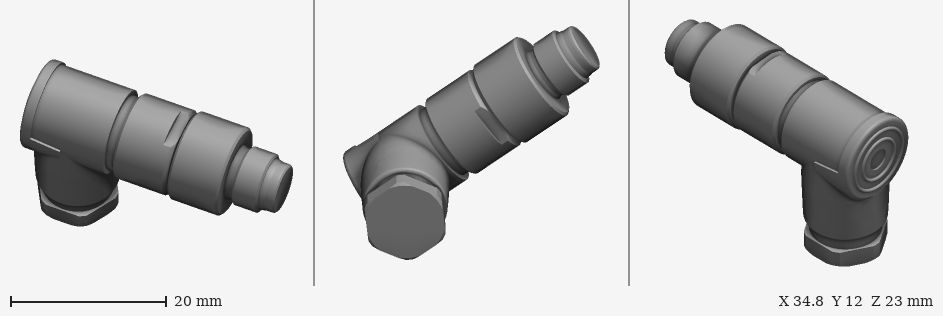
import cadquery as cq
import math


CAP_RADIUS = 12.0 / 2
CAP_ROUND = 0.5
CAP_RIM_END = 1.85
CAP_SKIRT_TOP = 0.52
CAP_WEDGE_DEPTH = 1.05
RIDGE_RADIUS = 0.28
RIDGE_RING_RADII = (3.0, 4.5)
CAP_FACE = RIDGE_RADIUS
CAP_RECESS_DIAMETER = 3.0
CAP_RECESS_DEPTH = 0.28

HOUSING_RADIUS = 11.4 / 2
HOUSING_END = 11.97
NECK_RADIUS = 10.0 / 2
COLLAR_RADIUS = 11.6 / 2
COLLAR_START = 13.22
COLLAR_END = 20.67
COLLAR_FLAT_START = 19.2
COLLAR_END_CHAMFER = 0.45
COLLAR_FLAT_DISTANCE = NECK_RADIUS
GAP_RADIUS = 3.25
RING_RADIUS = 12.0 / 2
RING_START = 21.0
RING_END = 28.0
EDGE_CHAMFER = 0.3
PLUG_NECK_RADIUS = 3.48
PLUG_NECK_FLARE = 0.2
PLUG_NECK_FLARE_END = 28.55
PLUG_RADIUS = 8 / 2
PLUG_START = 29.02
PLUG_END = 32.45
PLUG_CHAMFER = 0.35
TIP_CONE_START = 32.68
TIP_STEP_RADIUS = 6.85 / 2
TIP_STEP_START = 33.0
TIP_LAND_RADIUS = 6.8 / 2
TIP_LAND_START = 33.25
TIP_RADIUS = 6.6 / 2
TIP_START = 33.55
TIP_TAPER_START = 34.3
TIP_TAPER_RADIUS = 3.27
TIP_CHAMFER = 0.2
TOTAL_LENGTH = 34.8

TUBE_X = CAP_FACE + HOUSING_RADIUS
TUBE_END = -5.95
SLEEVE_BOTTOM = -12.5
SLEEVE_END_RADIUS = 5.45
SLEEVE_BULGE = 0.017
SLEEVE_ROUND = 0.45
STEM_RADIUS = 9.5 / 2
HEX_TOP = -14.4
HEX_BOTTOM = CAP_RADIUS - 23.0
HEX_ACROSS_FLATS = 10.0
HEX_CORNER_RADIUS = 5.5
HEX_CHAMFER_HEIGHT = 0.3
HEX_CHAMFER_WIDTH = 0.4


def cylinder_x(radius, start, end):
    return cq.Workplane("YZ", origin=(start, 0, 0)).circle(radius).extrude(end - start)


def cylinder_z(radius, bottom, top):
    return cq.Workplane("XY", origin=(TUBE_X, 0, bottom)).circle(radius).extrude(top - bottom)


def make_cap():
    """Round cap whose lower half reaches back as a skirt to the cable axis."""
    cap = cylinder_x(CAP_RADIUS, CAP_FACE, TUBE_X).faces("<X").edges().fillet(CAP_ROUND)
    keep = (
        cq.Workplane("XZ")
        .moveTo(0, CAP_RADIUS)
        .lineTo(CAP_RIM_END, CAP_RADIUS)
        .lineTo(CAP_RIM_END, CAP_SKIRT_TOP)
        .lineTo(TUBE_X, 0)
        .lineTo(TUBE_X, -CAP_RADIUS)
        .lineTo(0, -CAP_RADIUS)
        .close()
        .extrude(CAP_RADIUS, both=True)
    )
    return cap.intersect(keep)


def make_cap_wedge():
    """V-shaped continuation of the flat cap face, tangent to its edge and ending at the tube end."""
    face_radius = CAP_RADIUS - CAP_ROUND
    tangent_angle = math.acos(face_radius / -TUBE_END)
    half_width = face_radius * math.sin(tangent_angle)
    shoulder_z = -face_radius * math.cos(tangent_angle)
    return (
        cq.Workplane("YZ", origin=(CAP_FACE, 0, 0))
        .polyline([(0, TUBE_END), (half_width, shoulder_z), (-half_width, shoulder_z)])
        .close()
        .extrude(CAP_WEDGE_DEPTH)
    )


def make_cap_ridge(ring_radius):
    """Half-round ridge around the X axis on the cap face."""
    return (
        cq.Workplane("XY")
        .center(CAP_FACE, ring_radius)
        .circle(RIDGE_RADIUS)
        .revolve(360, (0, -ring_radius, 0), (1, -ring_radius, 0))
    )


def make_collar():
    """Coupling collar with two opposite wrench flats at its plug end."""
    collar = cylinder_x(COLLAR_RADIUS, COLLAR_START, COLLAR_END)
    collar = collar.faces("<X").edges().chamfer(EDGE_CHAMFER)
    collar = collar.faces(">X").edges().chamfer(COLLAR_END_CHAMFER)
    flat_length = COLLAR_END - COLLAR_FLAT_START
    for side in (-1, 1):
        cutter = cq.Workplane("XY").box(flat_length, 2 * COLLAR_RADIUS, COLLAR_RADIUS)
        cutter = cutter.translate(
            (
                COLLAR_FLAT_START + flat_length / 2,
                0,
                side * (COLLAR_FLAT_DISTANCE + COLLAR_RADIUS / 2),
            )
        )
        collar = collar.cut(cutter)
    return collar


def make_plug():
    """Stepped plug turned around the X axis."""
    plug_chamfer_radius = PLUG_RADIUS - PLUG_CHAMFER
    profile = [
        (HOUSING_END, 0),
        (HOUSING_END, GAP_RADIUS),
        (RING_END, GAP_RADIUS),
        (RING_END, PLUG_NECK_RADIUS + PLUG_NECK_FLARE),
        (PLUG_NECK_FLARE_END, PLUG_NECK_RADIUS),
        (PLUG_START, PLUG_NECK_RADIUS),
        (PLUG_START, plug_chamfer_radius),
        (PLUG_START + PLUG_CHAMFER, PLUG_RADIUS),
        (PLUG_END, PLUG_RADIUS),
        (TIP_CONE_START, plug_chamfer_radius),
        (TIP_CONE_START, PLUG_NECK_RADIUS),
        (TIP_STEP_START, TIP_STEP_RADIUS),
        (TIP_LAND_START, TIP_LAND_RADIUS),
        (TIP_START, TIP_RADIUS),
        (TIP_TAPER_START, TIP_RADIUS),
        (TOTAL_LENGTH - TIP_CHAMFER, TIP_TAPER_RADIUS),
        (TOTAL_LENGTH, TIP_TAPER_RADIUS - TIP_CHAMFER),
        (TOTAL_LENGTH, 0),
    ]
    return cq.Workplane("XY").polyline(profile).close().revolve(360, (0, 0, 0), (1, 0, 0))


def make_sleeve():
    """Slightly barrelled, tapering sleeve with a rounded lower edge."""
    middle_radius = (HOUSING_RADIUS + SLEEVE_END_RADIUS) / 2 + SLEEVE_BULGE
    middle_height = (TUBE_END + SLEEVE_BOTTOM) / 2
    sleeve = (
        cq.Workplane("XZ", origin=(TUBE_X, 0, 0))
        .moveTo(0, TUBE_END)
        .lineTo(HOUSING_RADIUS, TUBE_END)
        .threePointArc((middle_radius, middle_height), (SLEEVE_END_RADIUS, SLEEVE_BOTTOM))
        .lineTo(0, SLEEVE_BOTTOM)
        .close()
        .revolve(360, (0, 0, 0), (0, 1, 0))
    )
    return sleeve.faces("<Z").edges().fillet(SLEEVE_ROUND)


def make_hex():
    """Hexagonal gland nut with turned corners and a chamfered bottom."""
    nut = (
        cq.Workplane("XY", origin=(TUBE_X, 0, HEX_BOTTOM))
        .polygon(6, HEX_ACROSS_FLATS, circumscribed=True)
        .extrude(HEX_TOP - HEX_BOTTOM)
        .rotate((TUBE_X, 0, 0), (TUBE_X, 0, 1), 90)
    )
    turned = cylinder_z(HEX_CORNER_RADIUS, HEX_BOTTOM, HEX_TOP)
    turned = turned.faces("<Z").edges().chamfer(HEX_CHAMFER_HEIGHT, HEX_CHAMFER_WIDTH)
    return nut.intersect(turned)


housing = cylinder_x(HOUSING_RADIUS, CAP_FACE + CAP_ROUND, HOUSING_END)
neck = cylinder_x(NECK_RADIUS, HOUSING_END, COLLAR_START)
ring = cylinder_x(RING_RADIUS, RING_START, RING_END).edges().chamfer(EDGE_CHAMFER)
tube = cylinder_z(HOUSING_RADIUS, TUBE_END, 0)
stem = cylinder_z(STEM_RADIUS, HEX_TOP, SLEEVE_BOTTOM)

result = make_cap().union(make_cap_wedge())
for ridge_ring_radius in RIDGE_RING_RADII:
    result = result.union(make_cap_ridge(ridge_ring_radius))
for piece in (housing, tube, neck, make_collar(), make_plug(), ring, make_sleeve(), stem, make_hex()):
    result = result.union(piece)
result = result.cut(cylinder_x(CAP_RECESS_DIAMETER / 2, CAP_FACE, CAP_FACE + CAP_RECESS_DEPTH))